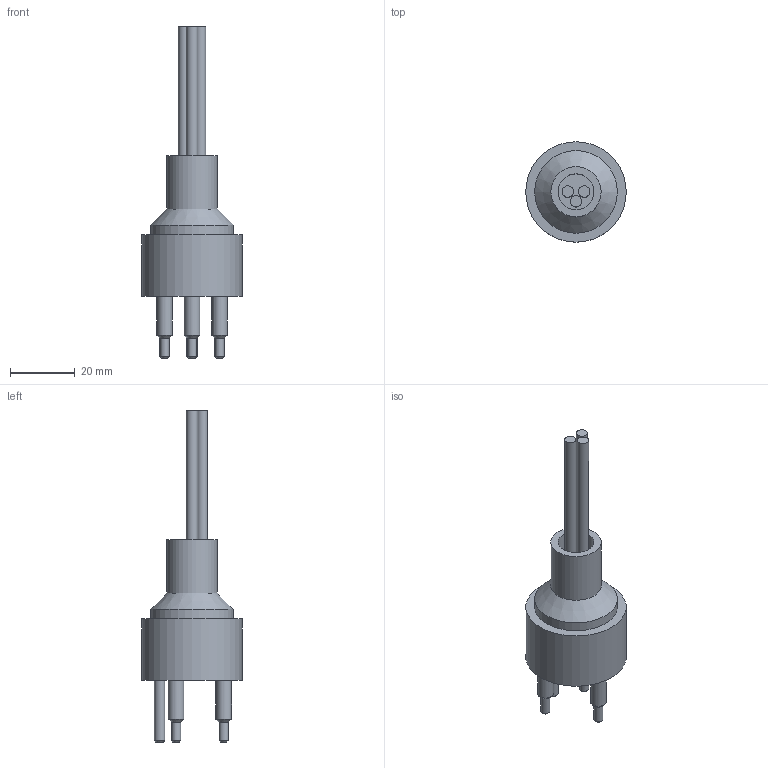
import cadquery as cq
import math

base_diameter = 31.0
base_top = 19.0
collar_diameter = 25.5
collar_top = 22.0
sleeve_diameter = 15.5
sleeve_top = 43.5
bore_diameter = 11.1
cone_top = collar_top + (collar_diameter - sleeve_diameter) / 2

wire_diameter = 3.5
wire_top = 83.5
wire_side_offset = 2.5
wire_front_y = -3.0

pin_length = 19.0
contact_shank_diameter = 4.8
contact_shank_length = 12.0
contact_tip_diameter = 2.8
contact_circle_radius = 9.8
contact_angles = (30, 150, 270)
guide_pin_diameter = 3.2
guide_pin_y = 10.0
pin_chamfer = 0.4

overlap = 1.0


def cylinder(diameter, bottom, top, x=0, y=0):
    """Upright cylinder between two heights."""
    base = cq.Workplane("XY", origin=(x, y, bottom))
    return base.circle(diameter / 2).extrude(top - bottom)


def make_body():
    """Base, collar, cone and sleeve in one revolve, with a blind bore in the sleeve."""
    profile = [
        (0, 0),
        (base_diameter / 2, 0),
        (base_diameter / 2, base_top),
        (collar_diameter / 2, base_top),
        (collar_diameter / 2, collar_top),
        (sleeve_diameter / 2, cone_top),
        (sleeve_diameter / 2, sleeve_top),
        (0, sleeve_top),
    ]
    solid = cq.Workplane("XZ").polyline(profile).close().revolve(360, (0, 0), (0, 1))
    return solid.cut(cylinder(bore_diameter, cone_top, sleeve_top))


def make_contact_pin(x, y):
    """Thick shank narrowing through a 45 degree shoulder to a chamfered tip."""
    shank_radius = contact_shank_diameter / 2
    tip_radius = contact_tip_diameter / 2
    shoulder_height = shank_radius - tip_radius
    profile = [
        (0, overlap),
        (shank_radius, overlap),
        (shank_radius, -contact_shank_length),
        (tip_radius, -contact_shank_length - shoulder_height),
        (tip_radius, -pin_length + pin_chamfer),
        (tip_radius - pin_chamfer, -pin_length),
        (0, -pin_length),
    ]
    pin = cq.Workplane("XZ").polyline(profile).close().revolve(360, (0, 0), (0, 1))
    return pin.translate((x, y, 0))


def make_guide_pin():
    """Plain thin pin with a chamfered end."""
    pin = cylinder(guide_pin_diameter, -pin_length, overlap, y=guide_pin_y)
    return pin.faces("<Z").chamfer(pin_chamfer)


result = make_body()

wire_centres = [
    (-wire_side_offset, 0),
    (wire_side_offset, 0),
    (0, wire_front_y),
]
for wire_x, wire_y in wire_centres:
    result = result.union(cylinder(wire_diameter, cone_top - overlap, wire_top, wire_x, wire_y))

for angle in contact_angles:
    pin_x = contact_circle_radius * math.cos(math.radians(angle))
    pin_y = contact_circle_radius * math.sin(math.radians(angle))
    result = result.union(make_contact_pin(pin_x, pin_y))

result = result.union(make_guide_pin())